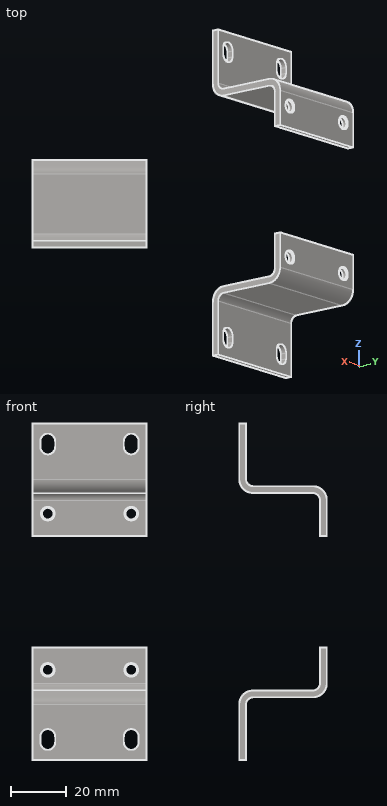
import cadquery as cq

total_height = 121.0
width = 41.0
depth = 31.6

bracket_height = 40.5
thickness = 2.5
inner_bend_radius = 2.5
outer_bend_radius = inner_bend_radius + thickness
web_drop = 25.0

hole_spacing = 30.0
slot_width = 5.2
slot_length = 7.4
slot_edge_distance = 7.4
screw_hole_diameter = 4.1
screw_hole_chamfer = 0.42
screw_hole_edge_distance = 8.1

front_y = -depth / 2
back_y = depth / 2
top_z = total_height / 2
bottom_z = top_z - bracket_height
web_bottom_z = top_z - web_drop
web_top_z = web_bottom_z + thickness
hole_xs = (-hole_spacing / 2, hole_spacing / 2)


def bent_sheet():
    """Z-shaped sheet: front flange up, back flange down, joined by a flat web."""
    front_inner_y = front_y + thickness
    back_inner_y = back_y - thickness
    sheet = (
        cq.Workplane("YZ")
        .moveTo(front_y, top_z)
        .lineTo(front_y, web_bottom_z)
        .lineTo(back_inner_y, web_bottom_z)
        .lineTo(back_inner_y, bottom_z)
        .lineTo(back_y, bottom_z)
        .lineTo(back_y, web_top_z)
        .lineTo(front_inner_y, web_top_z)
        .lineTo(front_inner_y, top_z)
        .close()
        .extrude(width / 2, both=True)
    )
    outer_corners = ((front_y, web_bottom_z), (back_y, web_top_z))
    inner_corners = ((front_inner_y, web_top_z), (back_inner_y, web_bottom_z))
    for corners, radius in ((outer_corners, outer_bend_radius), (inner_corners, inner_bend_radius)):
        for y, z in corners:
            corner_edge = cq.NearestToPointSelector((0, y, z))
            sheet = sheet.edges("|X").edges(corner_edge).fillet(radius)
    return sheet


def flange_plane(y):
    """Plane on the face of a flange at the given Y, with its normal along -Y."""
    return cq.Workplane("XZ", origin=(0, y, 0))


def slots():
    """Upright slots through the front flange."""
    slot_z = top_z - slot_edge_distance
    centers = [(x, slot_z) for x in hole_xs]
    return flange_plane(front_y).pushPoints(centers).slot2D(slot_length, slot_width, 90).extrude(-thickness)


def screw_holes():
    """Round holes through the back flange, chamfered on both faces."""
    hole_z = bottom_z + screw_hole_edge_distance
    centers = [(x, hole_z) for x in hole_xs]
    hole_plane = flange_plane(back_y - thickness)
    bores = hole_plane.pushPoints(centers).circle(screw_hole_diameter / 2).extrude(-thickness)
    chamfer_starts = ((back_y - thickness, 1), (back_y, -1))
    for x in hole_xs:
        for face_y, inward in chamfer_starts:
            chamfer = cq.Solid.makeCone(
                screw_hole_diameter / 2 + screw_hole_chamfer,
                screw_hole_diameter / 2,
                screw_hole_chamfer,
                pnt=cq.Vector(x, face_y, hole_z),
                dir=cq.Vector(0, inward, 0),
            )
            bores = bores.union(chamfer)
    return bores


def make_bracket(upside_down):
    """One bracket, either upright above Z = 0 or mirrored below it."""
    bracket = bent_sheet().cut(slots()).cut(screw_holes())
    return bracket.mirror("XY") if upside_down else bracket


brackets = [make_bracket(upside_down) for upside_down in (False, True)]

result = cq.Compound.makeCompound([bracket.val() for bracket in brackets])